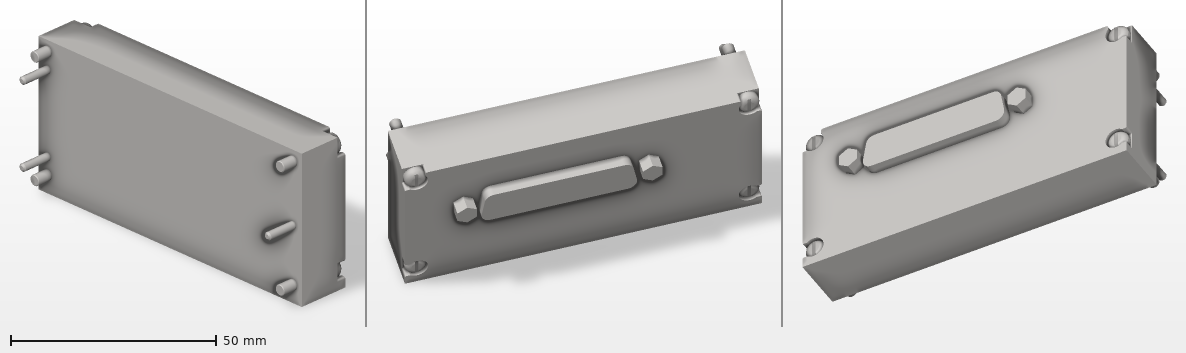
import cadquery as cq
import math

length = 90.5
depth = 15.0
height = 41.8

edge_inset = 3.1

pin_diameter = 2.2
pin_length = 9.0
pin_tip_chamfer = 0.45
output_pin_heights = (10.05, 33.8)
input_pin_height = 21.3

plug_center_x = 52.2
plug_center_z = 26.2
shell_height = 9.5
shell_short_side = 37.0
shell_slope_degrees = 10.0
shell_corner_radius = 2.35
shell_projection = 3.0
post_spacing = 47.1
post_sides = 6
post_width = 5.0
post_projection = 3.6

lower_screw_height = 5.1
upper_screw_height = height - edge_inset
screw_diameter = 3.0
screw_projection = 4.5
screw_tip_chamfer = 0.2
head_diameter = 5.6
head_height = 2.4
head_rim_height = 1.4
head_flat_diameter = 2.8
head_round_radius = 1.5
slot_width = 0.9
slot_depth = 0.4

recess_depth = 2.7
mouth_width = 4.3
mouth_edge_radius = 0.45
recess_floor_y = depth - recess_depth

screw_places = [
    (x, z)
    for x in (edge_inset, length - edge_inset)
    for z in (lower_screw_height, upper_screw_height)
]


def rod(x, y, z, diameter, rod_length):
    """Cylinder along +Y that starts at the given point."""
    return cq.Workplane(cq.Solid.makeCylinder(
        diameter / 2, rod_length, cq.Vector(x, y, z), cq.Vector(0, 1, 0)))


def box_between(x1, y1, z1, x2, y2, z2):
    """Box spanned by two opposite corners, given in any order."""
    size = (abs(x2 - x1), abs(y2 - y1), abs(z2 - z1))
    return (
        cq.Workplane("XY")
        .box(*size, centered=False)
        .translate((min(x1, x2), min(y1, y2), min(z1, z2)))
    )


def rear_plane(x, z):
    """Sketch plane on the rear face that keeps X and Z and extrudes toward +Y."""
    return cq.Workplane(cq.Plane(origin=(x, depth, z), xDir=(-1, 0, 0), normal=(0, 1, 0)))


def make_pin(x, z):
    """Contact pin with a chamfered tip."""
    return rod(x, -pin_length, z, pin_diameter, pin_length).faces("<Y").edges().chamfer(pin_tip_chamfer)


def make_shell():
    """D-shaped connector shell, wider at the bottom than at the top."""
    slope_run = shell_height * math.tan(math.radians(shell_slope_degrees))
    top_half = shell_short_side / 2
    bottom_half = top_half + slope_run
    half_height = shell_height / 2
    return (
        rear_plane(plug_center_x, plug_center_z)
        .polyline([
            (-top_half, half_height),
            (top_half, half_height),
            (bottom_half, -half_height),
            (-bottom_half, -half_height),
        ])
        .close()
        .extrude(shell_projection)
        .edges("|Y")
        .fillet(shell_corner_radius)
    )


def make_post(x):
    """Hexagonal jack post with corners pointing up and down."""
    half_side_degrees = 180 / post_sides
    across_corners = post_width / math.cos(math.radians(half_side_degrees))
    post = rear_plane(0, 0).polygon(post_sides, across_corners).extrude(post_projection)
    return post.rotate((0, 0, 0), (0, 1, 0), half_side_degrees).translate((x, 0, plug_center_z))


def end_face_x(x):
    """X of the housing end face nearest to the given X."""
    return 0 if x < length / 2 else length


def make_recess(x, z):
    """Counterbore for a screw head with a narrower mouth through the end face.

    Near the top of the housing the mouth also takes away the corner and opens upward.
    """
    half_mouth = mouth_width / 2
    end_x = end_face_x(x)
    recess = rod(x, recess_floor_y, z, head_diameter, recess_depth)
    if z < height / 2:
        return recess.union(box_between(end_x, recess_floor_y, z - half_mouth, x, depth, z + half_mouth))
    inner_x = x + math.copysign(half_mouth, x - end_x)
    side_mouth = box_between(end_x, recess_floor_y, z - half_mouth, x, depth, height)
    top_mouth = box_between(end_x, recess_floor_y, z, inner_x, depth, height)
    return recess.union(side_mouth).union(top_mouth)


def mouth_corners(x, z):
    """X and Z of the two outer edges of a recess mouth."""
    half_mouth = mouth_width / 2
    end_x = end_face_x(x)
    if z < height / 2:
        return [(end_x, z - half_mouth), (end_x, z + half_mouth)]
    inner_x = x + math.copysign(half_mouth, x - end_x)
    return [(end_x, z - half_mouth), (inner_x, height)]


def make_housing():
    """Block with its pins and plug, cut for the four screws."""
    housing = box_between(0, 0, 0, length, depth, height)
    for z in output_pin_heights:
        housing = housing.union(make_pin(edge_inset, z))
    housing = housing.union(make_pin(length - edge_inset, input_pin_height))
    housing = housing.union(make_shell())
    for side in (-1, 1):
        housing = housing.union(make_post(plug_center_x + side * post_spacing / 2))
    for x, z in screw_places:
        housing = housing.cut(make_recess(x, z))
        for edge_x, edge_z in mouth_corners(x, z):
            edge_center = (edge_x, depth - recess_depth / 2, edge_z)
            mouth_edge = cq.selectors.NearestToPointSelector(edge_center)
            housing = housing.edges(mouth_edge).fillet(mouth_edge_radius)
        housing = housing.cut(rod(x, 0, z, screw_diameter, depth))
    return housing


def make_head():
    """Pan head standing on the origin along +Y: straight rim, round shoulder, flat top."""
    return (
        cq.Workplane("XY")
        .lineTo(head_diameter / 2, 0)
        .lineTo(head_diameter / 2, head_rim_height)
        .radiusArc((head_flat_diameter / 2, head_height), -head_round_radius)
        .lineTo(0, head_height)
        .close()
        .revolve(360, (0, 0, 0), (0, 1, 0))
    )


def make_screw(x, z):
    """Pan-head screw with a straight driver slot along Z."""
    shank_length = screw_projection + recess_floor_y
    shank = rod(x, -screw_projection, z, screw_diameter, shank_length)
    shank = shank.faces("<Y").edges().chamfer(screw_tip_chamfer)
    head = make_head().translate((x, recess_floor_y, z))
    head_top_y = recess_floor_y + head_height
    slot = box_between(
        x - slot_width / 2, head_top_y - slot_depth, z - head_diameter / 2,
        x + slot_width / 2, head_top_y, z + head_diameter / 2)
    return shank.union(head).cut(slot)


housing = make_housing()
screws = [make_screw(x, z) for x, z in screw_places]

result = cq.Compound.makeCompound([housing.solids().val(), *[screw.solids().val() for screw in screws]])